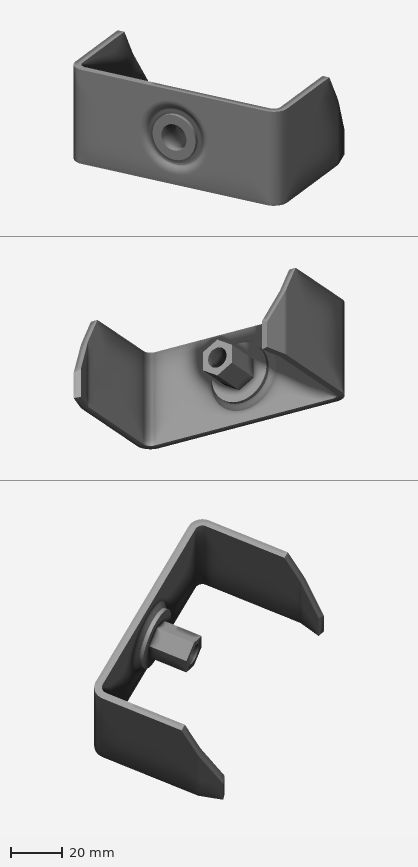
import cadquery as cq
import math

WIDTH = 94.0
DEPTH = 57.0
HEIGHT = 40.0
SHEET = 3.0
CORNER_OUTER_RADIUS = 2 * SHEET
CORNER_INNER_RADIUS = CORNER_OUTER_RADIUS - SHEET
LIP_BEND_OUTER_RADIUS = 2 * SHEET
LIP_BEND_INNER_RADIUS = LIP_BEND_OUTER_RADIUS - SHEET
LIP_ANGLE = 15.0
LEG_STRAIGHT_END = 46.6
SLOPE_START = 40.1
TIP_HEIGHT = 10.8

DIMPLE_DEPTH = 1.7
DIMPLE_OUTER_RADIUS = 15.4
DIMPLE_BLEND_RADIUS = 12.0
DIMPLE_FLOOR_RADIUS = 11.4
DIMPLE_BLEND_DEPTH = 1.5
DIMPLE_REAR_BASE_RADIUS = 14.85
FLOOR_REAR = DIMPLE_DEPTH + SHEET

WASHER_RADIUS = 12.5
WASHER_THICKNESS = 1.7

FLANGE_RADIUS = 9.5
HEX_ACROSS_FLATS = 13.35
HEX_END = 22.5
COUNTERBORE_RADIUS = 5.5
COUNTERBORE_DEPTH = 11.3
COUNTERBORE_TIP_ANGLE = 118.0
BORE_RADIUS = 4.2

CENTRE_HEIGHT = HEIGHT / 2


def revolve_about_hole(profile):
    """Revolve a closed (radius, Y) profile about the central hole axis."""
    solid = profile.close().revolve(360, (0, 0, 0), (0, 1, 0))
    return solid.translate((0, 0, CENTRE_HEIGHT))


def y_cylinder(radius, start, end):
    profile = cq.Workplane("XY").moveTo(0, start).lineTo(radius, start)
    return revolve_about_hole(profile.lineTo(radius, end).lineTo(0, end))


def hex_prism(start, end):
    """Hexagonal prism on the hole axis, with two flats facing along X."""
    across_corners = HEX_ACROSS_FLATS / math.cos(math.radians(30))
    return (
        cq.Workplane("XZ", origin=(0, start, CENTRE_HEIGHT))
        .transformed(rotate=(0, 0, 30))
        .polygon(6, across_corners)
        .extrude(start - end)
    )


def leg_profile():
    """Right half of the strip: half web, corner, leg, lip bend and lip."""
    outer_x = WIDTH / 2
    inner_x = outer_x - SHEET
    corner_x = outer_x - CORNER_OUTER_RADIUS
    corner_y = CORNER_OUTER_RADIUS
    lip_x = outer_x - LIP_BEND_OUTER_RADIUS
    lean = math.radians(LIP_ANGLE)

    def on_arc(x, y, radius, angle):
        return x + radius * math.cos(angle), y + radius * math.sin(angle)

    def on_lip(radius, angle):
        return on_arc(lip_x, LEG_STRAIGHT_END, radius, angle)

    outer_bend_end = on_lip(LIP_BEND_OUTER_RADIUS, lean)
    inner_bend_end = on_lip(LIP_BEND_INNER_RADIUS, lean)
    rise = DEPTH - outer_bend_end[1]
    shift = rise * math.tan(lean)
    outer_tip = (outer_bend_end[0] - shift, DEPTH)
    inner_tip = (
        outer_tip[0] - SHEET * math.cos(lean),
        outer_tip[1] - SHEET * math.sin(lean),
    )
    diagonal = math.radians(-45)
    return (
        cq.Workplane("XY")
        .lineTo(corner_x, 0)
        .threePointArc(on_arc(corner_x, corner_y, CORNER_OUTER_RADIUS, diagonal), (outer_x, corner_y))
        .lineTo(outer_x, LEG_STRAIGHT_END)
        .threePointArc(on_lip(LIP_BEND_OUTER_RADIUS, lean / 2), outer_bend_end)
        .lineTo(*outer_tip)
        .lineTo(*inner_tip)
        .lineTo(*inner_bend_end)
        .threePointArc(on_lip(LIP_BEND_INNER_RADIUS, lean / 2), (inner_x, LEG_STRAIGHT_END))
        .lineTo(inner_x, corner_y)
        .threePointArc(on_arc(corner_x, corner_y, CORNER_INNER_RADIUS, diagonal), (corner_x, SHEET))
        .lineTo(0, SHEET)
        .close()
    )


def leg_slope_cutter():
    """Wedge above the sloped top edges of both legs."""
    return (
        cq.Workplane("YZ")
        .moveTo(SLOPE_START, HEIGHT)
        .lineTo(DEPTH, TIP_HEIGHT)
        .lineTo(DEPTH, HEIGHT)
        .close()
        .extrude(WIDTH / 2, both=True)
    )


def dimple_recess():
    """Front hollow: a rounded rim tangent to the web, then a short blend to the floor."""
    rim_width = DIMPLE_OUTER_RADIUS - DIMPLE_BLEND_RADIUS
    rim_radius = (rim_width**2 + DIMPLE_BLEND_DEPTH**2) / (2 * DIMPLE_BLEND_DEPTH)
    half_sweep = math.asin(rim_width / rim_radius) / 2
    rim_middle = (
        DIMPLE_OUTER_RADIUS - rim_radius * math.sin(half_sweep),
        rim_radius * (1 - math.cos(half_sweep)),
    )
    return revolve_about_hole(
        cq.Workplane("XY")
        .lineTo(DIMPLE_OUTER_RADIUS, 0)
        .threePointArc(rim_middle, (DIMPLE_BLEND_RADIUS, DIMPLE_BLEND_DEPTH))
        .lineTo(DIMPLE_FLOOR_RADIUS, DIMPLE_DEPTH)
        .lineTo(0, DIMPLE_DEPTH)
    )


def dimple_bulge():
    """Conical rise on the rear face of the web."""
    return revolve_about_hole(
        cq.Workplane("XY")
        .moveTo(0, SHEET)
        .lineTo(DIMPLE_REAR_BASE_RADIUS, SHEET)
        .lineTo(WASHER_RADIUS, FLOOR_REAR)
        .lineTo(0, FLOOR_REAR)
    )


def make_bracket():
    half = leg_profile().extrude(HEIGHT)
    strip = half.union(half.mirror("YZ")).cut(leg_slope_cutter())
    pressed = strip.union(dimple_bulge()).cut(dimple_recess())
    return pressed.cut(hex_prism(0, FLOOR_REAR))


def make_washer():
    rear = FLOOR_REAR + WASHER_THICKNESS
    disc = y_cylinder(WASHER_RADIUS, FLOOR_REAR, rear)
    return disc.cut(hex_prism(FLOOR_REAR, rear))


def nut_bore():
    """Stepped through hole: counterbore with a conical bottom, then the smaller bore."""
    half_angle = math.radians(COUNTERBORE_TIP_ANGLE / 2)
    cone_end = COUNTERBORE_DEPTH + (COUNTERBORE_RADIUS - BORE_RADIUS) / math.tan(half_angle)
    return revolve_about_hole(
        cq.Workplane("XY")
        .lineTo(COUNTERBORE_RADIUS, 0)
        .lineTo(COUNTERBORE_RADIUS, COUNTERBORE_DEPTH)
        .lineTo(BORE_RADIUS, cone_end)
        .lineTo(BORE_RADIUS, HEX_END)
        .lineTo(0, HEX_END)
    )


def make_rivet_nut():
    flange = y_cylinder(FLANGE_RADIUS, 0, DIMPLE_DEPTH)
    shank = hex_prism(DIMPLE_DEPTH, HEX_END)
    return flange.union(shank).cut(nut_bore())


bracket = make_bracket()
washer = make_washer()
rivet_nut = make_rivet_nut()

result = cq.Compound.makeCompound([bracket.val(), washer.val(), rivet_nut.val()])